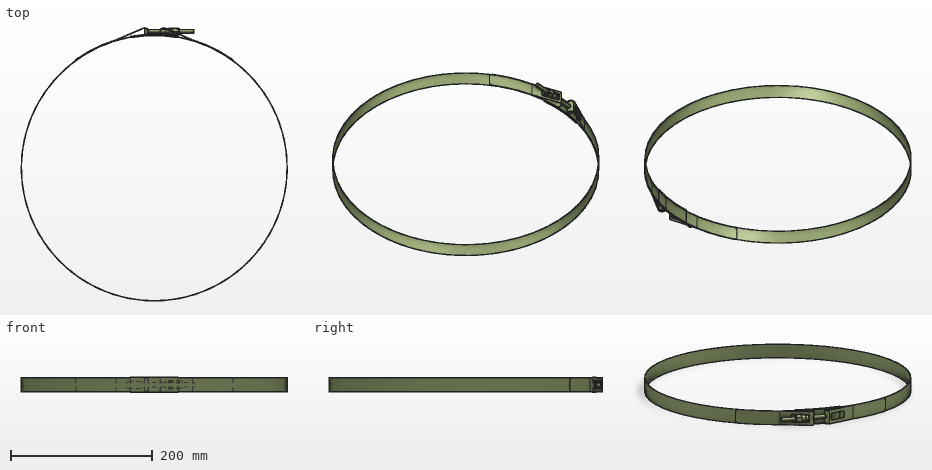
import cadquery as cq
import math


ring_outer_radius = 187.61
band_thickness = 0.7
band_width = 20.0
ring_inner_radius = ring_outer_radius - band_thickness
fold_outer_radius = ring_outer_radius + band_thickness
fold_start_y = 180.4
fold_end_y = 152.0
tail_corner_radius = 4.5
slot_corner_radius = 3.0

loop_x = 13.4
loop_inner_radius = 4.735
loop_outer_radius = loop_inner_radius + band_thickness
loop_distance = ring_outer_radius + loop_inner_radius
axis_y = math.sqrt(loop_distance**2 - loop_x**2)
loop_angle = math.degrees(math.asin(loop_x / loop_distance))

left_slot_start, left_slot_end, left_slot_width = 16.5, 39.0, 10.0
right_slot_start, right_slot_end, right_slot_width = 15.5, 40.0, 12.0

bridge_half_length = 33.5
bridge_thickness = 0.7
bridge_flange_radius = 188.5
bridge_width = 22.0

bolt_radius = 3.0
bolt_end_x = 55.9
bar_length = 18.0
bar_flat_offset = 0.5
saddle_nose_radius = 3.4
neck_radius, neck_start_x = 4.2, 16.2
collar_radius, collar_start_x = 4.9, 20.6
nut_across_flats, nut_start_x = 10.0, 26.7
nut_hex_end_x = 34.4
nut_boss_radius, nut_end_x = 4.4, 35.8


def disc(radius, width, center=(0, 0)):
    """Disc about a line parallel to Z, centred on the plane Z = 0."""
    return cq.Workplane("XY").center(*center).circle(radius).extrude(width / 2, both=True)


def ring_point(radius, angle):
    """Point at an angle in degrees from +Y toward +X."""
    turn = math.radians(angle)
    return (radius * math.sin(turn), radius * math.cos(turn))


def ring_sector(inner_radius, outer_radius, width, start, end):
    """Part of a ring from one angle to another, in degrees from +Y toward +X."""
    middle = (start + end) / 2
    return (
        cq.Workplane("XY")
        .moveTo(*ring_point(outer_radius, start))
        .threePointArc(ring_point(outer_radius, middle), ring_point(outer_radius, end))
        .lineTo(*ring_point(inner_radius, end))
        .threePointArc(ring_point(inner_radius, middle), ring_point(inner_radius, start))
        .close()
        .extrude(width / 2, both=True)
    )


def x_cylinder(radius, start_x, end_x):
    """Cylinder on the bolt axis."""
    plane = cq.Workplane("YZ", origin=(start_x, axis_y, 0))
    return plane.circle(radius).extrude(end_x - start_x)


def band_end(slot_start, slot_end, slot_width):
    """Loop, straight leg and folded tail at the +X end of the band."""
    fold_start = math.degrees(math.acos(fold_start_y / fold_outer_radius))
    foot_x, foot_y = ring_point(fold_outer_radius, fold_start)
    reach = math.hypot(foot_x - loop_x, axis_y - foot_y)
    center_drop = math.atan2(axis_y - foot_y, foot_x - loop_x)
    slope = center_drop + math.asin(loop_outer_radius / reach)
    normal = (math.sin(slope), math.cos(slope))

    def loop_point(radius, direction):
        return (loop_x + radius * direction[0], axis_y + radius * direction[1])

    leg = (
        cq.Workplane("XY")
        .polyline([
            loop_point(loop_inner_radius, normal),
            loop_point(loop_outer_radius, normal),
            (foot_x, foot_y),
            ring_point(ring_outer_radius, fold_start),
        ])
        .close()
        .extrude(band_width / 2, both=True)
    )

    turn = math.radians(loop_angle)
    inward = (-math.sin(turn), -math.cos(turn))
    toward_gap = (-1, 0)
    loop = (
        cq.Workplane("XY")
        .moveTo(*loop_point(loop_outer_radius, inward))
        .threePointArc(
            loop_point(loop_outer_radius, toward_gap), loop_point(loop_outer_radius, normal)
        )
        .lineTo(*loop_point(loop_inner_radius, normal))
        .threePointArc(
            loop_point(loop_inner_radius, toward_gap), loop_point(loop_inner_radius, inward)
        )
        .close()
        .extrude(band_width / 2, both=True)
    )

    fold_end = math.degrees(math.acos(fold_end_y / fold_outer_radius))
    tail = ring_sector(ring_outer_radius, fold_outer_radius, band_width, fold_start, fold_end)
    tip_x, tip_y = ring_point((ring_outer_radius + fold_outer_radius) / 2, fold_end)
    for side in (1, -1):
        corner = cq.selectors.NearestToPointSelector((tip_x, tip_y, side * band_width / 2))
        tail = tail.edges(corner).fillet(tail_corner_radius)

    slot = (
        cq.Workplane("XZ", origin=((slot_start + slot_end) / 2, axis_y + 2 * loop_outer_radius, 0))
        .rect(slot_end - slot_start, slot_width)
        .extrude(4 * loop_outer_radius)
        .edges("|Y")
        .fillet(slot_corner_radius)
    )
    return loop.union(leg.cut(slot)).union(tail)


def make_band():
    ring = ring_sector(ring_inner_radius, ring_outer_radius, band_width, loop_angle, 360 - loop_angle)
    right_end = band_end(right_slot_start, right_slot_end, right_slot_width)
    left_end = band_end(left_slot_start, left_slot_end, left_slot_width).mirror("YZ")
    bolt_hole = x_cylinder(bolt_radius, -loop_x, loop_x)
    return ring.union(right_end).union(left_end).cut(bolt_hole)


def make_bridge():
    base_radius = ring_inner_radius - bridge_thickness
    half_angle = math.degrees(math.asin(bridge_half_length / bridge_flange_radius))
    solid = ring_sector(base_radius, bridge_flange_radius, bridge_width, -half_angle, half_angle)
    channel = disc(bridge_flange_radius + bridge_thickness, band_width)
    channel = channel.cut(disc(ring_inner_radius, band_width))
    return solid.cut(channel)


def make_bolt():
    """T-bolt: half-round cross bar in the left loop, and a plain shank."""
    flat_x = -loop_x - bar_flat_offset
    keep = cq.Workplane("XY").box(
        2 * loop_inner_radius, 4 * loop_inner_radius, bar_length, centered=(False, True, True)
    ).translate((flat_x, axis_y, 0))
    head = disc(loop_inner_radius, bar_length, (-loop_x, axis_y)).intersect(keep)
    return head.union(x_cylinder(bolt_radius, -loop_x, bolt_end_x))


def make_saddle():
    """Stepped sleeve whose nose is rounded to bear on the inside of the right loop."""
    rounding = disc(loop_inner_radius, bar_length, (loop_x, axis_y))
    tip = x_cylinder(saddle_nose_radius, 0, loop_x).intersect(rounding)
    nose = x_cylinder(saddle_nose_radius, loop_x, neck_start_x)
    neck = x_cylinder(neck_radius, neck_start_x, collar_start_x)
    return tip.union(nose).union(neck).cut(x_cylinder(bolt_radius, 0, collar_start_x))


def make_collar():
    """Plain collar between the saddle and the nut."""
    solid = x_cylinder(collar_radius, collar_start_x, nut_start_x)
    return solid.cut(x_cylinder(bolt_radius, collar_start_x, nut_start_x))


def make_nut():
    """Hexagon nut with two flats facing along Y, and a round boss on its outer end."""
    across_corners = nut_across_flats / math.cos(math.pi / 6)
    hexagon = (
        cq.Workplane("YZ", origin=(nut_start_x, axis_y, 0))
        .transformed(rotate=(0, 0, 90))
        .polygon(6, across_corners)
        .extrude(nut_hex_end_x - nut_start_x)
    )
    boss = x_cylinder(nut_boss_radius, nut_hex_end_x, nut_end_x)
    return hexagon.union(boss).cut(x_cylinder(bolt_radius, nut_start_x, nut_end_x))


band = make_band()
bridge = make_bridge()
bolt = make_bolt()
saddle = make_saddle()
collar = make_collar()
nut = make_nut()

result = cq.Compound.makeCompound([
    band.solids().val(),
    bridge.solids().val(),
    bolt.solids().val(),
    saddle.solids().val(),
    collar.solids().val(),
    nut.solids().val(),
])